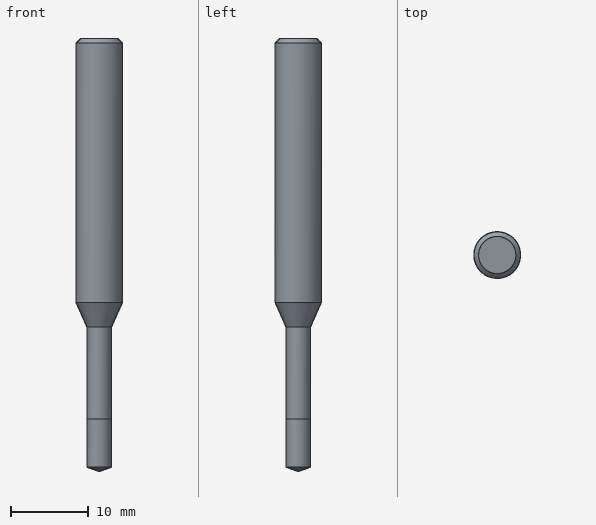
import cadquery as cq
import math

total_length = 55.55
shank_diameter = 6.0
drill_diameter = 3.15
point_angle = 140.0
tip_length = 6.8
taper_start = 18.55
taper_end = 21.7
end_chamfer = 0.6

shank_radius = shank_diameter / 2
drill_radius = drill_diameter / 2
point_height = drill_radius / math.tan(math.radians(point_angle / 2))


def revolve_profile(points):
    """Turn a closed (radius, height) outline around the Z axis."""
    return cq.Workplane("XZ").polyline(points).close().revolve(360, (0, 0), (0, 1))


def make_cutting_tip():
    """Plain cylinder with a conical point at its lower end."""
    return revolve_profile([
        (0, 0),
        (drill_radius, point_height),
        (drill_radius, tip_length),
        (0, tip_length),
    ])


def make_shank():
    """Slim neck that tapers out to the shank, with a chamfered upper end."""
    return revolve_profile([
        (0, tip_length),
        (drill_radius, tip_length),
        (drill_radius, taper_start),
        (shank_radius, taper_end),
        (shank_radius, total_length - end_chamfer),
        (shank_radius - end_chamfer, total_length),
        (0, total_length),
    ])


cutting_tip = make_cutting_tip()
shank = make_shank()

result = cq.Compound.makeCompound([cutting_tip.val(), shank.val()])